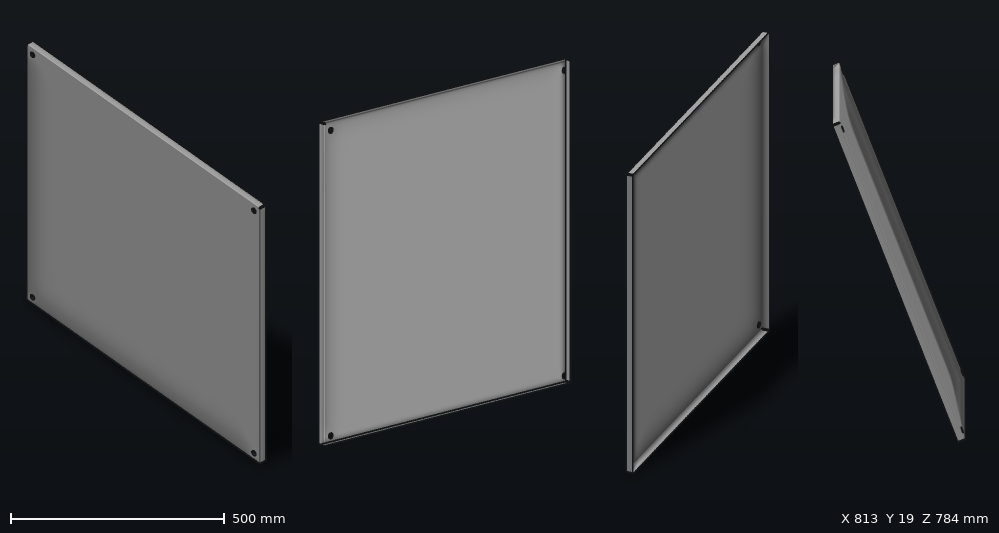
import cadquery as cq

width = 813.0
depth = 19.0
height = 784.0

sheet_thickness = 1.5
bend_radius = 3.5
corner_relief = bend_radius

hole_diameter = 14.0
hole_edge_distance = 22.0


def folded_channel(span, length):
    """Front sheet with a flange folded back at each end of its X span, running along Z."""
    outer = (
        cq.Workplane("XY")
        .rect(span, depth)
        .extrude(length / 2, both=True)
        .edges("|Z and <Y")
        .fillet(bend_radius)
    )
    hollow = (
        cq.Workplane("XY")
        .center(0, sheet_thickness)
        .rect(span - 2 * sheet_thickness, depth)
        .extrude(length / 2, both=True)
        .edges("|Z and <Y")
        .fillet(bend_radius - sheet_thickness)
    )
    return outer.cut(hollow)


def side_flanges():
    return folded_channel(width, height - 2 * corner_relief)


def top_and_bottom_flanges():
    channel = folded_channel(height, width - 2 * corner_relief)
    return channel.rotate((0, 0, 0), (0, 1, 0), 90)


def corner_holes():
    return (
        cq.Workplane("XZ")
        .rect(width - 2 * hole_edge_distance, height - 2 * hole_edge_distance, forConstruction=True)
        .vertices()
        .circle(hole_diameter / 2)
        .extrude(depth, both=True)
    )


result = side_flanges().union(top_and_bottom_flanges()).cut(corner_holes())